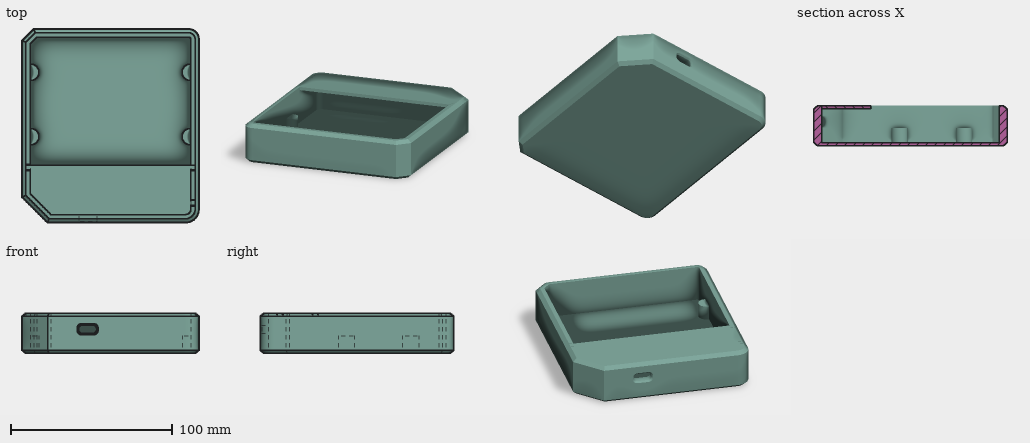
import cadquery as cq
import math

WIDTH = 109.6
LENGTH = 120.0
HEIGHT = 25.0

FRONT_CUT = 15.8
BACK_CUT = 7.2
FRONT_RADIUS = 8.4
BACK_RADIUS = 6.5

WALL = 5.0
FLOOR = 2.0
BEVEL_INSET = 2.4
BEVEL_HEIGHT = 2.0

POST_RADIUS = 5.0
POST_INSET = 5.5
POST_HEIGHT = 9.0
POST_PLACES_Y = [53.3, 93.1]

PORT_X = 40.7
PORT_Z = 15.0
PORT_WIDTH = 11.0
PORT_HEIGHT = 5.0
PORT_RADIUS = 2.0
PORT_FLARE = 1.0
FLARE_ANGLE = 45

LID_THICKNESS = 2.0
LID_BACK_Y = 35.6
TAB_WIDTH = 3.0
TAB_GAP = 0.5
BACK_TAB_Y = LID_BACK_Y - TAB_WIDTH / 2
FRONT_TAB_Y = 12.2


def outline(plane, inset):
    """Case outline moved inwards by inset, as a closed wire on the plane."""
    left = inset
    right = WIDTH - inset
    front = inset
    back = LENGTH - inset
    cut_loss = inset * (2 - math.sqrt(2))
    front_cut = FRONT_CUT - cut_loss
    back_cut = BACK_CUT - cut_loss
    front_radius = FRONT_RADIUS - inset
    back_radius = BACK_RADIUS - inset
    sagitta_share = 1 - math.sqrt(0.5)
    front_mid = front_radius * sagitta_share
    back_mid = back_radius * sagitta_share
    return (
        plane.moveTo(left + front_cut, front)
        .lineTo(right - front_radius, front)
        .threePointArc((right - front_mid, front + front_mid), (right, front + front_radius))
        .lineTo(right, back - back_radius)
        .threePointArc((right - back_mid, back - back_mid), (right - back_radius, back))
        .lineTo(left + back_cut, back)
        .lineTo(left, back - back_cut)
        .lineTo(left, front + front_cut)
        .close()
    )


def prism(inset, bottom, top):
    """Upright block with the inset case outline."""
    return outline(cq.Workplane().workplane(offset=bottom), inset).extrude(top - bottom)


def bevel_layer(bottom, bottom_inset, top_inset):
    """Sloped layer of bevel height between two insets of the case outline."""
    lower = outline(cq.Workplane().workplane(offset=bottom), bottom_inset)
    return outline(lower.workplane(offset=BEVEL_HEIGHT), top_inset).loft(ruled=True)


def box(x_min, x_max, y_min, y_max, z_min, z_max):
    """Block given by its limits along each axis."""
    block = cq.Workplane().box(x_max - x_min, y_max - y_min, z_max - z_min, centered=False)
    return block.translate((x_min, y_min, z_min))


def left_tab(y_min, y_max):
    """Tab-shaped block across the inner part of the left rim."""
    return box(BEVEL_INSET, WALL, y_min, y_max, HEIGHT - LID_THICKNESS, HEIGHT)


def right_tab(y_min, y_max):
    """Tab-shaped block across the inner part of the right rim."""
    return left_tab(y_min, y_max).translate((WIDTH - WALL - BEVEL_INSET, 0, 0))


def make_posts():
    """Support posts, trimmed to the inside of the cavity and its walls."""
    places = [(x, y) for x in (POST_INSET, WIDTH - POST_INSET) for y in POST_PLACES_Y]
    posts = cq.Workplane().pushPoints(places).circle(POST_RADIUS).extrude(FLOOR + POST_HEIGHT)
    return posts.intersect(prism(BEVEL_INSET, FLOOR / 2, HEIGHT))


def make_port():
    """Cutter for the rounded opening and its flared mouth."""
    def slot(depth, grow):
        sketch = cq.Sketch().rect(PORT_WIDTH + 2 * grow, PORT_HEIGHT + 2 * grow)
        sketch = sketch.vertices().fillet(PORT_RADIUS + grow)
        plane = cq.Workplane("XZ", origin=(PORT_X, depth, PORT_Z))
        return plane.placeSketch(sketch)

    opening = slot(WALL, 0).extrude(WALL)
    mouth = slot(0, PORT_FLARE).extrude(-PORT_FLARE, taper=FLARE_ANGLE)
    return opening.union(mouth)


def make_slots():
    """Cutter for the rim slots; the back right slot is flush with the lid edge."""
    front_end = BACK_TAB_Y - TAB_WIDTH / 2 - TAB_GAP
    half_slot = TAB_WIDTH / 2 + TAB_GAP
    slots = left_tab(front_end, LID_BACK_Y + TAB_GAP)
    slots = slots.union(right_tab(front_end, LID_BACK_Y))
    return slots.union(right_tab(FRONT_TAB_Y - half_slot, FRONT_TAB_Y + half_slot))


def make_housing():
    """Open-topped case with bevelled rims, posts, port and lid slots."""
    upper_bevel = HEIGHT - BEVEL_HEIGHT
    shell = prism(0, BEVEL_HEIGHT, upper_bevel)
    shell = shell.union(bevel_layer(0, BEVEL_INSET, 0))
    shell = shell.union(bevel_layer(upper_bevel, 0, BEVEL_INSET))
    shell = shell.cut(prism(WALL, FLOOR, HEIGHT))
    return shell.union(make_posts()).cut(make_port()).cut(make_slots())


def make_lid():
    """Plate filling the front of the cavity mouth, with three tabs."""
    plate = prism(WALL, HEIGHT - LID_THICKNESS, HEIGHT)
    plate = plate.intersect(box(0, WIDTH, 0, LID_BACK_Y, 0, HEIGHT))
    half_tab = TAB_WIDTH / 2
    plate = plate.union(left_tab(BACK_TAB_Y - half_tab, BACK_TAB_Y + half_tab))
    for tab_y in (BACK_TAB_Y, FRONT_TAB_Y):
        plate = plate.union(right_tab(tab_y - half_tab, tab_y + half_tab))
    return plate


housing = make_housing()
lid = make_lid()
result = cq.Compound.makeCompound([housing.solids().val(), lid.solids().val()])